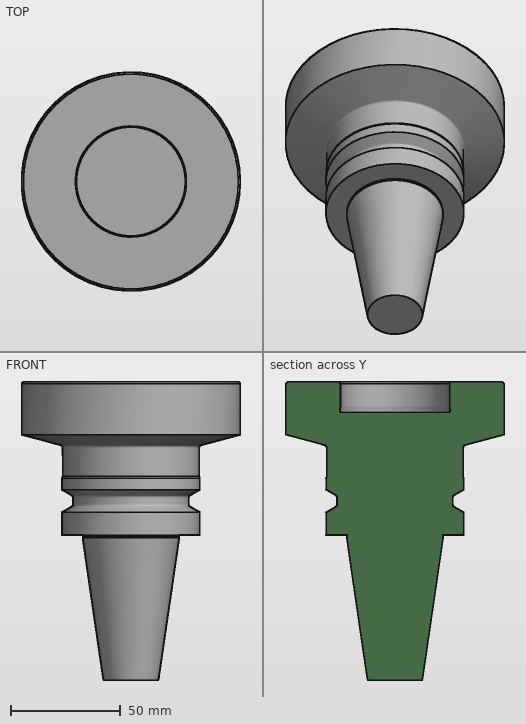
import cadquery as cq
import math

total_height = 136.4
shank_top_z = 65.0
flange_bottom_z = 66.3
groove_bottom_z = 76.8
groove_top_z = 87.0
neck_bottom_z = 93.2
head_bottom_z = 112.1

head_radius = 100.0 / 2
neck_radius = 31.2
flange_radius = 31.5
groove_radius = 26.5
relief_radius = 22.0
shank_top_radius = 22.1
bore_radius = 24.8
bore_mouth_radius = 25.4
undercut_radius = 25.2

shank_taper = 7 / 24
groove_flank_angle = math.radians(30)
head_cone_angle = math.radians(15)

shank_tip_chamfer_height = 1.0
shank_tip_chamfer_width = 0.3
shank_rim_height = 0.4
head_chamfer = 1.0
corner_radius = 1.0
neck_step_height = 0.8

bore_depth = 13.9
bore_mouth_height = 1.1
undercut_height = 2.5
bore_floor_fillet = 0.7

select_margin = 0.07


def revolve(points):
    """Solid of revolution about Z from (radius, z) points."""
    return cq.Workplane("XZ").polyline(points).close().revolve(360, (0, 0), (0, 1))


def circle_at(radius, z):
    """Selector box enclosing only the circular edge at this radius and height."""
    reach = radius + select_margin
    low_corner = (-reach, -reach, z - select_margin)
    high_corner = (reach, reach, z + select_margin)
    return cq.selectors.BoxSelector(low_corner, high_corner, boundingbox=True)


shank_tip_radius = shank_top_radius - (shank_top_z - shank_tip_chamfer_height) * shank_taper / 2
flank_height = (flange_radius - groove_radius) * math.tan(groove_flank_angle)
groove_floor_low_z = groove_bottom_z + flank_height
groove_floor_high_z = groove_top_z - flank_height
neck_top_z = head_bottom_z - (head_radius - neck_radius) * math.tan(head_cone_angle)

body = revolve([
    (0, 0),
    (shank_tip_radius - shank_tip_chamfer_width, 0),
    (shank_tip_radius, shank_tip_chamfer_height),
    (shank_top_radius, shank_top_z),
    (relief_radius, shank_top_z + shank_rim_height),
    (relief_radius, flange_bottom_z),
    (flange_radius, flange_bottom_z),
    (flange_radius, groove_bottom_z),
    (groove_radius, groove_floor_low_z),
    (groove_radius, groove_floor_high_z),
    (flange_radius, groove_top_z),
    (flange_radius, neck_bottom_z - neck_step_height),
    (neck_radius, neck_bottom_z),
    (neck_radius, neck_top_z),
    (head_radius, head_bottom_z),
    (head_radius, total_height),
    (0, total_height),
])

for radius, z in [
    (groove_radius, groove_floor_low_z),
    (groove_radius, groove_floor_high_z),
    (neck_radius, neck_top_z),
]:
    body = body.edges(circle_at(radius, z)).fillet(corner_radius)

body = body.edges(circle_at(head_radius, total_height)).chamfer(head_chamfer)

floor_z = total_height - bore_depth
bore = revolve([
    (0, floor_z),
    (undercut_radius, floor_z),
    (bore_radius, floor_z + undercut_height),
    (bore_radius, total_height - bore_mouth_height),
    (bore_mouth_radius, total_height),
    (0, total_height),
])
bore = bore.edges(circle_at(undercut_radius, floor_z)).fillet(bore_floor_fillet)

result = body.cut(bore)